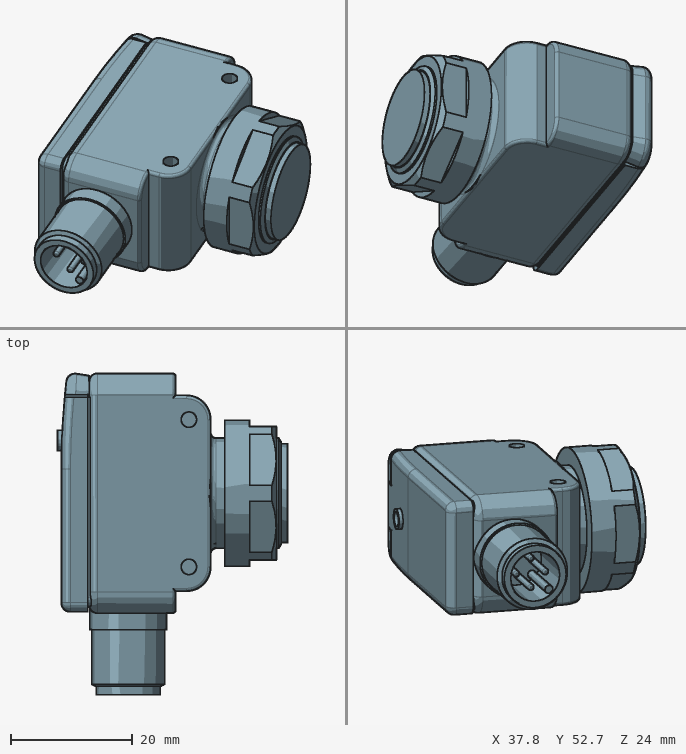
import cadquery as cq
import math


body_depth = 14.2
body_length = 39.35
body_height = 20.0
body_corner_radius = 3.55
body_rear_round = 1.3
small_round = 0.55

front_x = 19.95
front_length = 32.15
front_corner_radius = 4.0
mount_hole_x = 16.35
mount_hole_y = 12.1
mount_hole_radius = 1.25
mount_hole_depth = 5.25

barrel_radius = 9.05
barrel_root_round = 0.85
barrel_end_x = 31.55
barrel_chamfer_length = 0.5
barrel_tip_radius = 8.3

cover_rear_x = -4.6
cover_front_x = -0.2
cover_height = 19.25
cover_bottom_y = -19.45
cover_top_y = 15.75
cover_corner_radius = 1.6
cover_round = 1.5
curve_start_y = 4.0
curve_radius = 126.55
tongue_top_y = 18.2
tongue_width = 7.6

seat_height = 18.55
seat_bottom_y = -18.6

window_bottom_y = 16.2
window_corner_radius = 3.05
window_draft = 9.0
window_neck_top_y = 19.3
window_neck_height = 18.45
window_notch_top_y = 18.55
window_notch_width = 7.8
window_notch_round = 0.5

knob_y = 8.65
knob_radius = 1.7
knob_rear_x = -5.2
knob_front_x = -3.15
knob_dimple_radius = 1.2
knob_dimple_depth = 0.7

connector_x = 6.4
connector_socket_y = -18.45
flange_radius = 6.35
flange_end_y = -22.35
shell_radius = 6.0
connector_floor_y = flange_end_y
shell_cone_y = -31.3
shell_end_y = -31.7
nose_radius = 5.25
nose_end_y = -33.05
bore_radius = 4.15
key_radius = 0.7
key_offset = 3.6
key_recess = 0.65
pin_radius = 0.55
pin_circle_radius = 2.5
pin_tip_round = 0.3
pin_recess = 2.3
pin_count = 4

nut_start_x = 22.2
nut_flange_end_x = 26.3
nut_end_x = 30.75
nut_diameter = 24.0
nut_radius = nut_diameter / 2
nut_across_flats = 21.95
nut_chamfer_length = 0.8
nut_chamfer_depth = 1.15

clearance = 1.05

lens_radius = 8.1
lens_end_x = 32.55


def box(x_range, y_range, z_height):
    """Box between two X and two Y values, centred on Z = 0."""
    return (
        cq.Workplane("XY")
        .box(x_range[1] - x_range[0], y_range[1] - y_range[0], z_height)
        .translate((sum(x_range) / 2, sum(y_range) / 2, 0))
    )


def x_cylinder(radius, x_start, x_end, y=0):
    return cq.Workplane("YZ", origin=(x_start, y, 0)).circle(radius).extrude(x_end - x_start)


def y_cylinder(radius, y_start, y_end, x=0, z=0):
    """Cylinder running from y_start toward -Y, down to y_end."""
    return cq.Workplane("XZ", origin=(x, y_start, z)).circle(radius).extrude(y_start - y_end)


def rear_curve_x(y):
    """X of the cover's curved rear face at the given Y."""
    return cover_rear_x + curve_radius - math.sqrt(curve_radius**2 - (y - curve_start_y) ** 2)


def behind_rear_curve():
    """Space to the rear (-X) of the curved part of the cover's back."""
    top_y = body_length / 2 + clearance
    middle_y = (curve_start_y + top_y) / 2
    clear_x = cover_rear_x - clearance
    return (
        cq.Workplane("XY", origin=(0, 0, -body_height))
        .moveTo(cover_rear_x, curve_start_y)
        .threePointArc((rear_curve_x(middle_y), middle_y), (rear_curve_x(top_y), top_y))
        .lineTo(clear_x, top_y)
        .lineTo(clear_x, curve_start_y)
        .close()
        .extrude(2 * body_height)
    )


def make_housing():
    block = (
        box((0, body_depth), (-body_length / 2, body_length / 2), body_height)
        .edges("|X").fillet(body_corner_radius)
        .faces("<X").edges().fillet(body_rear_round)
        .faces(">X").edges().fillet(small_round)
    )
    front = (
        box((body_depth / 2, front_x), (-front_length / 2, front_length / 2), body_height)
        .edges("|Z and >X").fillet(front_corner_radius)
        .faces(">X").edges(">Z or <Z").fillet(small_round)
    )
    seat = (
        box((cover_front_x, clearance), (seat_bottom_y, cover_top_y), seat_height)
        .edges("|X and <Y").fillet(cover_corner_radius)
    )
    holes = (
        cq.Workplane("XY", origin=(0, 0, body_height / 2))
        .pushPoints([(mount_hole_x, mount_hole_y), (mount_hole_x, -mount_hole_y)])
        .circle(mount_hole_radius)
        .extrude(-mount_hole_depth)
    )
    barrel = (
        cq.Workplane("XY")
        .moveTo(body_depth, 0)
        .lineTo(body_depth, barrel_radius + barrel_root_round)
        .lineTo(front_x, barrel_radius + barrel_root_round)
        .radiusArc((front_x + barrel_root_round, barrel_radius), -barrel_root_round)
        .lineTo(barrel_end_x - barrel_chamfer_length, barrel_radius)
        .lineTo(barrel_end_x, barrel_tip_radius)
        .lineTo(barrel_end_x, 0)
        .close()
        .revolve(360, (0, 0, 0), (1, 0, 0))
    )
    socket = y_cylinder(flange_radius, connector_socket_y, flange_end_y, connector_x)
    return block.union(front).union(seat).cut(holes).union(barrel).cut(socket)


def rear_edges(body):
    """Edges on or near the rear face of the cover or of the window."""
    zone = cq.selectors.BoxSelector(
        (cover_rear_x - clearance, -body_length, -body_height),
        (cover_rear_x + cover_round, body_length, body_height),
    )
    return body.edges(zone)


def make_cover():
    plate = (
        box((cover_rear_x, cover_front_x), (cover_bottom_y, cover_top_y), cover_height)
        .edges("|X and <Y").fillet(cover_corner_radius)
        .cut(behind_rear_curve())
    )
    plate = rear_edges(plate).edges("(not |Z) or <Y").fillet(cover_round)
    tongue = (
        box((cover_rear_x, cover_front_x), (cover_top_y - clearance, tongue_top_y), tongue_width)
        .cut(behind_rear_curve())
    )
    knob_hole = x_cylinder(knob_radius, knob_rear_x, knob_front_x, knob_y)
    return plate.union(tongue).cut(knob_hole)


def make_window():
    blank_bottom_y = window_bottom_y - 2 * window_corner_radius
    blank_length = window_neck_top_y - blank_bottom_y
    blank = (
        cq.Workplane("YZ", origin=(0, blank_bottom_y + blank_length / 2, 0))
        .sketch()
        .rect(blank_length, window_neck_height)
        .vertices(">X")
        .fillet(window_corner_radius)
        .finalize()
        .extrude(cover_rear_x, taper=-window_draft)
        .cut(behind_rear_curve())
    )
    blank = rear_edges(blank).edges("(not |Z) or >Y").fillet(cover_round)
    x_span = (cover_rear_x - clearance, clearance)
    below = box(x_span, (-body_length, window_bottom_y), 2 * body_height)
    notch = (
        box(x_span, (window_bottom_y - clearance, window_notch_top_y), window_notch_width)
        .edges("|X and >Y").fillet(window_notch_round)
    )
    return blank.cut(below).cut(notch).edges("|X and <Y").fillet(window_notch_round)


def make_knob():
    knob = x_cylinder(knob_radius, knob_rear_x, knob_front_x, knob_y)
    sphere_radius = (knob_dimple_radius**2 + knob_dimple_depth**2) / (2 * knob_dimple_depth)
    dimple = (
        cq.Workplane("XY", origin=(knob_rear_x, knob_y, 0))
        .lineTo(0, knob_dimple_radius)
        .radiusArc((knob_dimple_depth, 0), sphere_radius)
        .close()
        .revolve(360, (0, 0, 0), (1, 0, 0))
    )
    return knob.cut(dimple)


def make_connector():
    shell = (
        cq.Workplane("XY", origin=(connector_x, 0, 0))
        .moveTo(0, connector_socket_y)
        .lineTo(flange_radius, connector_socket_y)
        .lineTo(flange_radius, flange_end_y)
        .lineTo(shell_radius, flange_end_y)
        .lineTo(shell_radius, shell_cone_y)
        .lineTo(nose_radius, shell_end_y)
        .lineTo(nose_radius, nose_end_y)
        .lineTo(bore_radius, nose_end_y)
        .lineTo(bore_radius, connector_floor_y)
        .lineTo(0, connector_floor_y)
        .close()
        .revolve(360, (0, 0, 0), (0, 1, 0))
    )
    key_shift = key_offset * math.sqrt(0.5)
    key = y_cylinder(
        key_radius, connector_socket_y, nose_end_y + key_recess, connector_x + key_shift, -key_shift
    )
    connector = shell.union(key)
    for index in range(pin_count):
        angle = 2 * math.pi * index / pin_count
        pin = y_cylinder(
            pin_radius,
            connector_socket_y,
            nose_end_y + pin_recess,
            connector_x + pin_circle_radius * math.cos(angle),
            pin_circle_radius * math.sin(angle),
        )
        connector = connector.union(pin.faces("<Y").edges().fillet(pin_tip_round))
    return connector


def make_nut():
    turned = (
        cq.Workplane("XY")
        .moveTo(nut_start_x, barrel_radius)
        .lineTo(nut_start_x, nut_radius)
        .lineTo(nut_end_x - nut_chamfer_length, nut_radius)
        .lineTo(nut_end_x, nut_radius - nut_chamfer_depth)
        .lineTo(nut_end_x, barrel_radius)
        .close()
        .revolve(360, (0, 0, 0), (1, 0, 0))
    )
    flange = x_cylinder(nut_radius, nut_start_x, nut_flange_end_x)
    hexagon = (
        cq.Workplane("YZ", origin=(nut_flange_end_x, 0, 0))
        .polygon(6, nut_across_flats, circumscribed=True)
        .extrude(nut_end_x - nut_flange_end_x)
    )
    return turned.intersect(flange.union(hexagon))


def make_lens():
    return x_cylinder(lens_radius, barrel_end_x, lens_end_x)


housing = make_housing()
cover = make_cover()
window = make_window()
knob = make_knob()
connector = make_connector()
nut = make_nut()
lens = make_lens()

result = cq.Compound.makeCompound([
    housing.val(),
    cover.val(),
    window.val(),
    knob.val(),
    connector.val(),
    nut.val(),
    lens.val(),
])